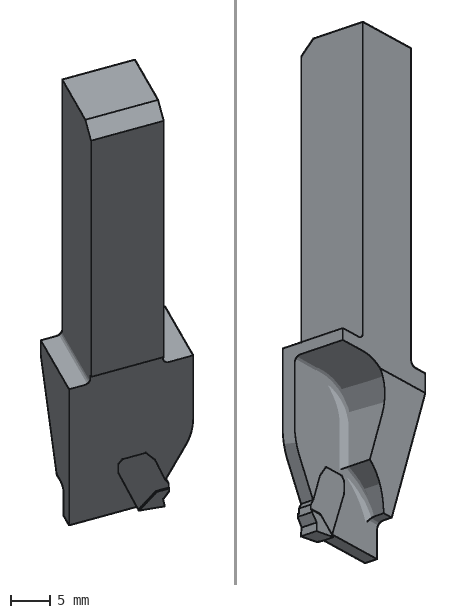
import cadquery as cq
import math

total_length = 70.0
shank_side = 10.0
shank_y = 2.95
shank_bottom = 26.4
shank_chamfer = 1.95

head_thickness = 9.8
head_width = 17.1
shoulder_z = 25.05
shoulder_fillet = 0.85
head_bottom = 1.05
side_end_z = 13.65
flank_start = (16.2, 9.8)
flank_end = (13.4, 4.6)

slope_top_z = 22.25
step_z = 6.2
slope_depth = 5.45

blade_face_x = 7.85
pocket_top_z = 23.4
pocket_wall_y = 6.8
pocket_corner_radius = 6.1
pocket_wall_end_z = 11.4
pocket_bulge = (4.3, 9.7)
pocket_low_y = 1.7
pocket_fillet = 1.0
cut_margin = 3.5

select_margin = 0.1

insert_outline = [
    (10.6, 10.15),
    (7.35, 10.15),
    (6.8, 9.5),
    (6.8, 7.9),
    (9.5, 0.5),
    (13.1, 0.0),
    (12.9, 1.3),
    (13.7, 2.5),
    (13.7, 3.65),
    (13.15, 4.6),
    (11.8, 8.5),
]

tip_top_z = 2.95
tip_bend_y = 12.0
tip_corner = insert_outline[4]
tip_face_top_x = 7.7
tip_face_bottom_x = 7.4
tip_back_x = 10.0


def prism(outline, x_start, x_end):
    """Extrude a closed (Y, Z) outline between two X positions."""
    return cq.Workplane("YZ").workplane(offset=x_start).polyline(outline).close().extrude(x_end - x_start)


def make_shank():
    """Square bar, chamfered along its top +X edge."""
    bar = cq.Workplane("XY").box(shank_side, shank_side, total_length - shank_bottom, centered=False)
    bar = bar.translate((0, shank_y, shank_bottom))
    return bar.faces(">Z").edges(">X").chamfer(shank_chamfer)


def make_head():
    """Bar with a tapered flank, rising into a neck that carries the shank."""
    neck_end_y = shank_y + shank_side
    head = (
        cq.Workplane("YZ")
        .moveTo(0, head_bottom)
        .lineTo(0, shoulder_z)
        .lineTo(shank_y, shoulder_z)
        .lineTo(shank_y, shank_bottom)
        .lineTo(neck_end_y, shank_bottom)
        .lineTo(neck_end_y, shoulder_z)
        .lineTo(head_width, shoulder_z)
        .lineTo(head_width, side_end_z)
        .tangentArcPoint(flank_start, relative=False)
        .lineTo(*flank_end)
        .lineTo(flank_end[0], head_bottom)
        .close()
        .extrude(head_thickness)
    )
    neck_corners = cq.selectors.BoxSelector(
        (-select_margin, shank_y - select_margin, shoulder_z - select_margin),
        (head_thickness + select_margin, neck_end_y + select_margin, shoulder_z + select_margin),
    )
    return head.edges("|X").edges(neck_corners).fillet(shoulder_fillet)


def make_relief():
    """Wedge that tapers the head down to the step above the blade."""
    slope_run = slope_depth / (slope_top_z - step_z)
    low_x = slope_run * slope_top_z
    outline = [(0, slope_top_z), (low_x, 0), (0, 0)]
    return cq.Workplane("XZ").polyline(outline).close().extrude(-head_width)


def make_pocket():
    """Pocket with a rounded wall and a fillet where the wall meets its floor."""
    corner_y = pocket_wall_y + pocket_corner_radius
    corner_z = pocket_top_z - pocket_corner_radius
    corner_reach = pocket_corner_radius * math.sqrt(0.5)
    pocket = (
        cq.Workplane("YZ")
        .workplane(offset=-cut_margin)
        .moveTo(head_width + cut_margin, pocket_top_z)
        .lineTo(corner_y, pocket_top_z)
        .threePointArc((corner_y - corner_reach, corner_z + corner_reach), (pocket_wall_y, corner_z))
        .lineTo(pocket_wall_y, pocket_wall_end_z)
        .threePointArc(pocket_bulge, (pocket_low_y, step_z))
        .lineTo(-cut_margin, step_z)
        .lineTo(-cut_margin, -cut_margin)
        .lineTo(head_width + cut_margin, -cut_margin)
        .close()
        .extrude(blade_face_x + cut_margin)
    )
    inside_walls = cq.selectors.BoxSelector(
        (blade_face_x - select_margin, -cut_margin + select_margin, 0),
        (blade_face_x + select_margin, head_width + cut_margin - select_margin, pocket_top_z + select_margin),
    )
    return pocket.faces(">X").edges(inside_walls).fillet(pocket_fillet)


def make_insert():
    """Flat insert through the blade, with a tip that is thicker on both faces."""
    body = prism(insert_outline, blade_face_x, head_thickness)
    tip_zone = [
        (head_width, tip_top_z),
        (tip_bend_y, tip_top_z),
        tip_corner,
        (tip_corner[0], 0),
        (head_width, 0),
    ]
    wedge = (
        cq.Workplane("XZ")
        .polyline([
            (tip_face_top_x, tip_top_z),
            (tip_face_bottom_x, 0),
            (tip_back_x, 0),
            (tip_back_x, tip_top_z),
        ])
        .close()
        .extrude(-head_width)
    )
    tip = prism(insert_outline, 0, tip_back_x).intersect(prism(tip_zone, 0, tip_back_x)).intersect(wedge)
    return body.union(tip)


def make_holder():
    """Shank and head in one piece, with a seat that matches the insert."""
    head = make_head().cut(make_relief()).cut(make_pocket())
    seat = prism(insert_outline, 0, head_thickness)
    below_insert = [flank_end, tip_corner, (tip_corner[0], 0), (head_width, 0), (head_width, flank_end[1])]
    return make_shank().union(head).cut(seat).cut(prism(below_insert, 0, head_thickness))


insert = make_insert()
holder = make_holder()

result = cq.Compound.makeCompound([holder.solids().val(), insert.solids().val()])